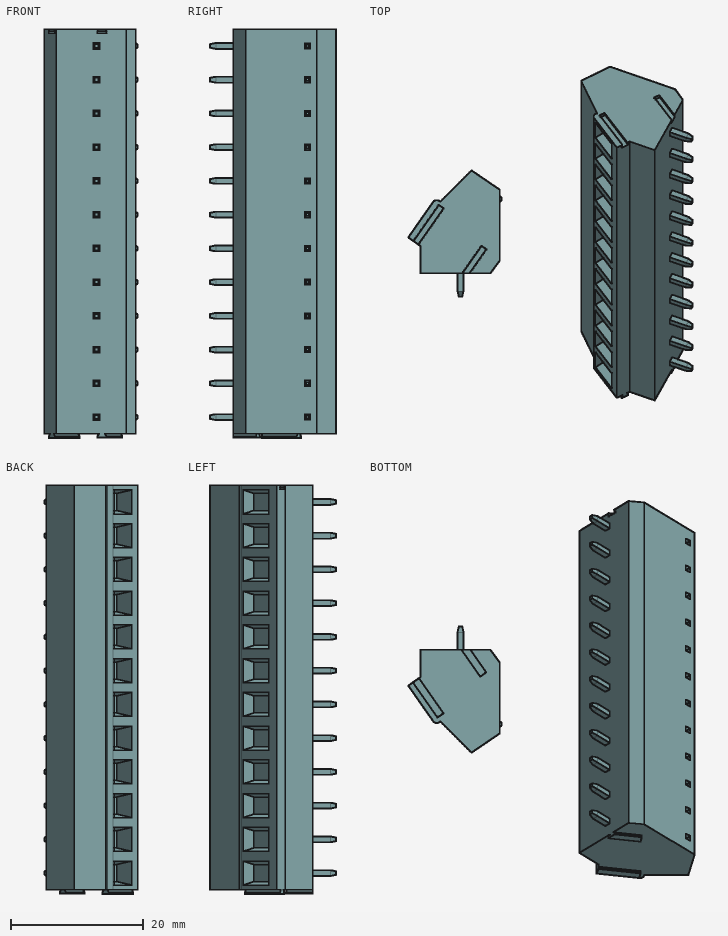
import cadquery as cq
import math


pole_count = 12
total_height = 61.55
rib_height = 0.6
body_height = total_height - rib_height
pitch = body_height / pole_count
body_width = 11.95
base_chamfer_x = 1.4
base_chamfer_y = 1.9
apex_x = 7.7
apex_y = 15.5
right_edge_y = 12.6

face_angle = math.radians(55)
face_tip = (-1.85, 5.4)
face_length = 7.2
face_fillet = 0.7

funnel_start = 1.55
funnel_length = 4.7
funnel_mouth = 3.65
funnel_floor = 2.6
funnel_depth = 2.8

outer_track_offset = 1.4
outer_track_end = 6.65
inner_track_offset = 10.2
inner_track_end = 5.3
inner_track_length = 7.4
inner_rib_height = 0.55
groove_depth = 0.6
flare_height = 0.3
rib_clearance = 0.2
groove_mouth = 0.85
groove_root = 1.1
rib_neck = 0.75
rib_foot = 1.1

pin_x = 6.05
pin_width = 0.9
pin_shank = 2.65
pin_tip_width = 0.55
pin_length = 3.5
pin_embed = 1.25
stud_y = 11.2
stud_base = 0.85
stud_tip = 0.4
stud_height = 0.3

along_x, along_y = math.cos(face_angle), math.sin(face_angle)
into_x, into_y = along_y, -along_x
pole_heights = [(i + 0.5) * pitch for i in range(pole_count)]


def face_point(along, depth):
    """XY point at a distance along the tilted face and a depth behind it."""
    return (
        face_tip[0] + along * along_x + depth * into_x,
        face_tip[1] + along * along_y + depth * into_y,
    )


def make_housing():
    lower_step = -face_tip[0] / into_x
    shoulder_x, shoulder_y = face_point(face_length, 0)
    roof_gap = shoulder_y - shoulder_x - (apex_y - apex_x)
    upper_step = roof_gap / (into_x - into_y)
    outline = [
        (0, 0),
        (body_width - base_chamfer_x, 0),
        (body_width, base_chamfer_y),
        (body_width, right_edge_y),
        (apex_x, apex_y),
        face_point(face_length, upper_step),
        face_point(face_length, 0),
        face_tip,
        face_point(0, lower_step),
    ]
    housing = cq.Workplane("XY").polyline(outline).close().extrude(body_height)
    face_corner = cq.selectors.NearestToPointSelector((shoulder_x, shoulder_y, body_height / 2))
    return housing.edges("|Z").edges(face_corner).fillet(face_fillet)


def make_funnel(z):
    x, y = face_point(funnel_start + funnel_length / 2, 0)
    mouth_plane = cq.Plane(origin=(x, y, z), xDir=(0, 0, 1), normal=(-into_x, -into_y, 0))
    return (
        cq.Workplane(mouth_plane)
        .rect(funnel_mouth, funnel_length)
        .workplane(offset=-funnel_depth)
        .rect(funnel_floor, funnel_length)
        .loft(ruled=True)
    )


def make_track(offset, track_end, length, top_z, top_width, bottom_width, height):
    """Dovetail bar parallel to the face, running from track_end back toward -Y."""
    x, y = face_point(track_end, offset)
    end_plane = cq.Plane(origin=(x, y, top_z), xDir=(into_x, into_y, 0), normal=(-along_x, -along_y, 0))
    section = [
        (-top_width / 2, 0),
        (top_width / 2, 0),
        (bottom_width / 2, -flare_height),
        (bottom_width / 2, -height),
        (-bottom_width / 2, -height),
        (-bottom_width / 2, -flare_height),
    ]
    return cq.Workplane(end_plane).polyline(section).close().extrude(length)


def make_groove(offset, track_end, length):
    return make_track(offset, track_end, length, body_height, groove_mouth, groove_root, groove_depth)


def make_rib(offset, track_end, length, height):
    """Rib below the housing, trimmed flush with the pin face at y = 0."""
    bar = make_track(offset, track_end - rib_clearance, length, 0, rib_neck, rib_foot, height)
    behind_pin_face = cq.Workplane("XY").box(
        total_height, total_height, total_height, centered=(True, False, True)
    )
    return bar.intersect(behind_pin_face)


def make_peg(plane, base, tip, height):
    """Square peg tapering from base to tip."""
    return cq.Workplane(plane).rect(base, base).workplane(offset=height).rect(tip, tip).loft(ruled=True)


def make_pin(z):
    shank_plane = cq.Plane(origin=(pin_x, pin_embed, z), xDir=(1, 0, 0), normal=(0, -1, 0))
    shank = cq.Workplane(shank_plane).rect(pin_width, pin_width).extrude(pin_embed + pin_shank)
    tip_plane = cq.Plane(origin=(pin_x, -pin_shank, z), xDir=(1, 0, 0), normal=(0, -1, 0))
    return shank.union(make_peg(tip_plane, pin_width, pin_tip_width, pin_length - pin_shank))


def make_stud(z):
    stud_plane = cq.Plane(origin=(body_width, stud_y, z), xDir=(0, 1, 0), normal=(1, 0, 0))
    return make_peg(stud_plane, stud_base, stud_tip, stud_height)


result = make_housing()
for pole_z in pole_heights:
    result = result.cut(make_funnel(pole_z)).union(make_pin(pole_z)).union(make_stud(pole_z))

outer_rib_length = outer_track_end - rib_clearance
result = (
    result
    .cut(make_groove(outer_track_offset, outer_track_end, outer_track_end))
    .cut(make_groove(inner_track_offset, inner_track_end, inner_track_length))
    .union(make_rib(outer_track_offset, outer_track_end, outer_rib_length, rib_height))
    .union(make_rib(inner_track_offset, inner_track_end, inner_track_length, inner_rib_height))
)